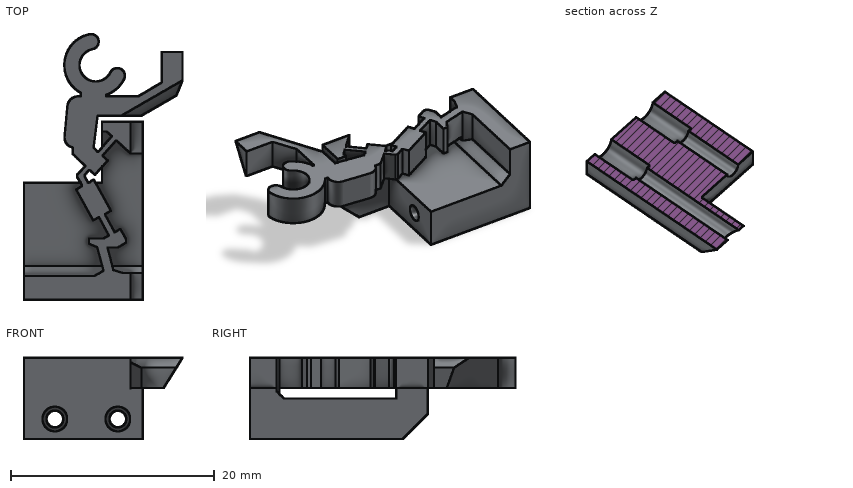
import cadquery as cq
import math

height = 8.0
layer_thickness = 3.0
layer_z = height - layer_thickness
gap = 1.0
floor_z = layer_z - gap

base_width = 11.68
base_length = 11.5
tower_left = 7.66
tower_end = 17.47
tower_chamfer = 2.48
ledge_left = 10.48
ledge_front_end = 2.63
ledge_back_start = 14.35

wall_thickness = 2.32
wall_foot_run = 1.02

hole_positions = (3.05, 9.23)
hole_z = 1.98
bore_diameter = 2.42
through_diameter = 1.62
bore_depth = 5.0

hook_x = 7.06
hook_radius = 2.35
hook_half_width = 0.75
hook_start_angle = 101.4
hook_end_angle = -26.2
hook_y = 26.07 - hook_half_width - hook_radius * math.sin(math.radians(hook_start_angle))

arm_right = 15.6
arm_low = 18.05
arm_high = 19.97
arm_bend_x = 11.52
arm_angle = 30
arm_bevel = 1.0
arm_tip_run = 1.88

shoulder_radius = 1.1
hip_radius = 1.02


def prism(points, bottom, top):
    """Extrude a closed plan outline between two Z levels."""
    return cq.Workplane("XY", origin=(0, 0, bottom)).polyline(points).close().extrude(top - bottom)


def layer(points):
    return prism(points, layer_z, height)


def make_base():
    base = prism(
        [(0, 0), (base_width, 0), (base_width, tower_end), (tower_left, tower_end),
         (tower_left, base_length), (0, base_length)],
        0, floor_z,
    )
    return base.faces("<Z").edges(">Y").chamfer(tower_chamfer)


def make_front_wall():
    wall = prism(
        [(0, 0), (ledge_left, 0), (ledge_left, ledge_front_end), (9.7, ledge_front_end),
         (8.79, 2.92), (7.82, 2.87), (6.9, wall_thickness), (0, wall_thickness)],
        floor_z, height,
    )
    ledge = prism(
        [(ledge_left, 0), (base_width, 0), (base_width, ledge_front_end), (ledge_left, ledge_front_end)],
        floor_z, layer_z,
    )
    foot = (
        cq.Workplane("YZ")
        .polyline([(wall_thickness, floor_z), (wall_thickness + wall_foot_run, floor_z),
                   (wall_thickness, layer_z)])
        .close()
        .extrude(base_width)
    )
    return wall.union(ledge).union(foot)


def make_tower():
    tower = prism(
        [(tower_left, tower_end), (tower_left, 16.5), (8.13, 16.5),
         (ledge_left, ledge_back_start), (ledge_left, tower_end)],
        floor_z, height,
    )
    ledge = prism(
        [(ledge_left, ledge_back_start), (base_width, ledge_back_start),
         (base_width, tower_end), (ledge_left, tower_end)],
        floor_z, layer_z,
    )
    return tower.union(ledge)


def make_links():
    """The hinged chain from the front wall up to the torso and across to the tower."""
    wall_link = layer([(7.2, 5.15), (7.82, 2.87), (8.79, 2.92), (8.2, 5.14)])
    shuttle = layer(
        [(8.35, 6.3), (7.77, 6.0), (6.41, 6.0), (6.41, 5.5), (7.2, 5.15), (8.2, 5.14),
         (9.23, 5.14), (10.0, 5.6), (10.0, 6.0), (9.46, 6.95), (8.92, 6.62)]
    )
    shuttle_link = layer([(7.38, 8.1), (8.35, 6.3), (8.92, 6.62), (7.95, 8.4)])
    block = layer(
        [(5.74, 11.18), (5.14, 10.82), (6.8, 7.8), (7.38, 8.1),
         (7.95, 8.4), (8.55, 8.73), (6.85, 11.8), (6.34, 11.47)]
    )
    block_link = layer(
        [(6.02, 13.11), (5.25, 12.28), (5.25, 12.02), (5.74, 11.18),
         (6.34, 11.47), (5.95, 12.17), (6.41, 12.75)]
    )
    tower_link = layer([(7.27, 14.5), (7.72, 14.13), (9.25, 15.85), (8.8, 16.25)])
    chain = wall_link
    for link in (shuttle, shuttle_link, block, block_link, tower_link):
        chain = chain.union(link)
    return chain


def make_torso():
    shoulder = (4.35, arm_high)
    hip = (3.88, 14.9)
    trunk = layer([shoulder, hip, (6.85, hip[1]), (7.25, arm_low), (7.25, arm_high)])
    for corner, radius in ((shoulder, shoulder_radius), (hip, hip_radius)):
        corner_edge = cq.selectors.NearestToPointSelector((*corner, height - layer_thickness / 2))
        trunk = trunk.edges(corner_edge).fillet(radius)
    foot = layer(
        [(4.8, 15.38), (4.8, 14.3), (6.02, 13.11), (6.41, 12.75), (6.99, 12.25),
         (8.25, 13.65), (7.72, 14.13), (7.27, 14.5), (6.83, 14.96), (6.83, 15.38)]
    )
    return trunk.union(foot)


def make_hook():
    def at(radius, angle):
        angle = math.radians(angle)
        return (hook_x + radius * math.cos(angle), hook_y + radius * math.sin(angle))

    outer = hook_radius + hook_half_width
    inner = hook_radius - hook_half_width
    sweep_end = hook_end_angle + 360
    middle = (hook_start_angle + sweep_end) / 2
    start_x, start_y = at(hook_radius, hook_start_angle)
    end_x, end_y = at(hook_radius, sweep_end)
    start_angle = math.radians(hook_start_angle - 90)
    end_angle = math.radians(sweep_end + 90)
    start_cap = (
        start_x + hook_half_width * math.cos(start_angle),
        start_y + hook_half_width * math.sin(start_angle),
    )
    end_cap = (
        end_x + hook_half_width * math.cos(end_angle),
        end_y + hook_half_width * math.sin(end_angle),
    )
    hook = (
        cq.Workplane("XY", origin=(0, 0, layer_z))
        .moveTo(*at(outer, hook_start_angle))
        .threePointArc(at(outer, middle), at(outer, sweep_end))
        .threePointArc(end_cap, at(inner, sweep_end))
        .threePointArc(at(inner, middle), at(inner, hook_start_angle))
        .threePointArc(start_cap, at(outer, hook_start_angle))
        .close()
        .extrude(layer_thickness)
    )
    neck = layer([(5.58, 19.55), (8.1, 19.55), (8.1, 20.1), (7.55, 20.6), (5.58, 20.6)])
    return hook.union(neck)


def make_arm():
    slope = math.tan(math.radians(arm_angle))
    arm = layer(
        [(5.47, arm_high), (5.47, arm_low), (arm_bend_x, arm_low),
         (arm_right, arm_low + (arm_right - arm_bend_x) * slope), (arm_right, 24.32),
         (13.53, 24.32), (13.53, 21.33), (11.24, arm_high)]
    )
    run_out = arm_bevel / math.sin(math.radians(arm_angle))
    bevel_plane = cq.Plane(
        origin=(arm_bend_x, arm_low, height),
        xDir=(math.sin(math.radians(arm_angle)), -math.cos(math.radians(arm_angle)), 0),
        normal=(-math.cos(math.radians(arm_angle)), -math.sin(math.radians(arm_angle)), 0),
    )
    bevel = (
        cq.Workplane(bevel_plane)
        .workplane(offset=run_out)
        .polyline([(-arm_bevel, 0), (0, 0), (0, -arm_bevel)])
        .close()
        .extrude(-run_out - arm_right)
    )
    tip = (
        cq.Workplane("XZ")
        .polyline([(arm_right, height), (arm_right, layer_z), (arm_right - arm_tip_run, layer_z)])
        .close()
        .extrude(-26.07)
    )
    return arm.cut(bevel).cut(tip)


def make_holes():
    front = cq.Workplane("XZ").pushPoints([(x, hole_z) for x in hole_positions])
    bores = front.circle(bore_diameter / 2).extrude(-bore_depth)
    return bores.union(front.circle(through_diameter / 2).extrude(-tower_end))


result = make_base()
for section in (make_front_wall(), make_tower(), make_links(), make_torso(), make_hook(), make_arm()):
    result = result.union(section)
result = result.cut(make_holes())